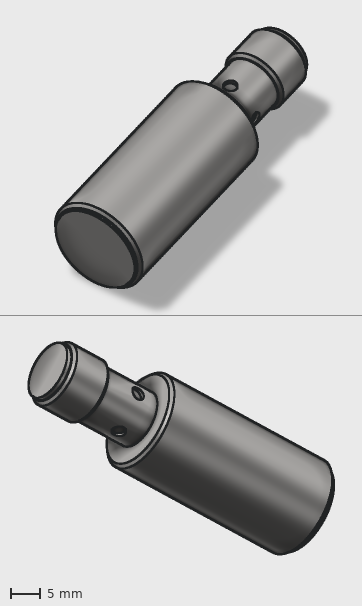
import cadquery as cq

body_diameter = 18.0
face_diameter = 16.3
collar_diameter = 12.0
neck_diameter = 10.4

total_length = 56.5
body_length = 36.1
face_height = 0.5
collar_length = 8.0
lip_length = 0.9

edge_chamfer = 0.6

recess_diameter = 2.5
recess_depth = 0.75
recess_count = 4
recess_to_body = 4.25

body_end = face_height + body_length
collar_end = total_length - lip_length
collar_start = collar_end - collar_length


def cylinder(diameter, start, end):
    """Cylinder around the Y axis between two positions on it."""
    sketch = cq.Workplane("XZ", origin=(0, start, 0)).circle(diameter / 2)
    return sketch.extrude(start - end)


def make_body():
    """Main barrel with chamfered ends and a slightly raised sensing face."""
    barrel = cylinder(body_diameter, face_height, body_end)
    barrel = barrel.edges("%CIRCLE").chamfer(edge_chamfer)
    return barrel.union(cylinder(face_diameter, 0, body_end / 2))


def make_collar():
    """Connector collar, chamfered at both ends."""
    collar = cylinder(collar_diameter, collar_start, collar_end)
    return collar.edges("%CIRCLE").chamfer(edge_chamfer)


def make_recesses():
    """Flat-bottomed round recesses, equally spaced around the neck."""
    floor_height = neck_diameter / 2 - recess_depth
    recess_y = body_end + recess_to_body
    cutter = (
        cq.Workplane("XY", origin=(0, recess_y, floor_height))
        .circle(recess_diameter / 2)
        .extrude(2 * recess_depth)
    )
    cutters = cq.Workplane("XY")
    for index in range(recess_count):
        angle = index * 360 / recess_count
        cutters = cutters.add(cutter.rotate((0, 0, 0), (0, 1, 0), angle))
    return cutters


neck = cylinder(neck_diameter, body_end / 2, total_length)
result = make_body().union(neck).union(make_collar())
for recess in make_recesses().vals():
    result = result.cut(cq.Workplane(recess))